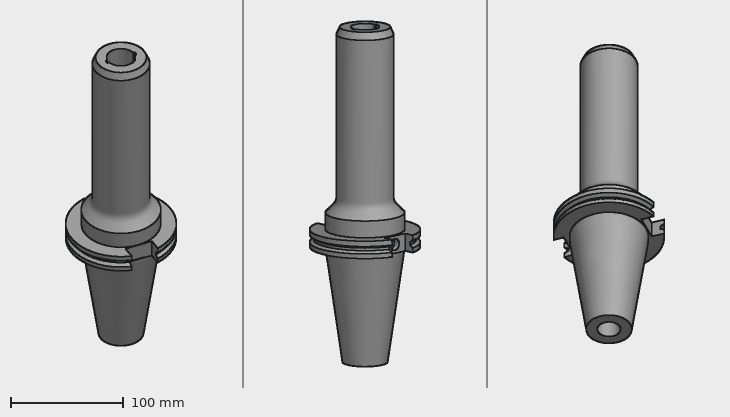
import cadquery as cq
import math

total_height = 304.8
gauge_height = 101.5
flange_bottom = gauge_height + 3.5
flange_top = flange_bottom + 16.0
hub_top = flange_top + 15.2

taper_ratio = 7 / 24
gauge_radius = 35.0
taper_end_radius = gauge_radius - gauge_height * taper_ratio / 2
flange_radius = 98.5 / 2
hub_radius = 35.5
shank_radius = 25.5
neck_fillet = 10.5
nose_inset = 3.0
nose_height = 6.7

upper_rim = 5.0
lower_rim = 4.3
groove_depth = 3.7
groove_flank_height = groove_depth * math.tan(math.radians(30))

slot_width = 26.0
left_slot_floor = -38.0
right_slot_floor = 35.7
side_hole_diameter = 10.5
side_hole_depth = 6.0

through_radius = 10.5
bore_radius = 12.8
bore_depth = 76.2
keyway_width = 3.0
keyway_reach = 14.3


def make_body():
    """Revolve the taper, grooved flange, hub and shank."""
    shoulder_corner = hub_top + hub_radius - shank_radius
    tangent_length = neck_fillet * math.tan(math.radians(22.5))
    tangent_offset = tangent_length * math.sqrt(0.5)
    fillet_start = (shank_radius + tangent_offset, shoulder_corner - tangent_offset)
    fillet_end = (shank_radius, shoulder_corner + tangent_length)
    fillet_middle = (
        shank_radius + neck_fillet * (1 - math.cos(math.radians(22.5))),
        fillet_end[1] - neck_fillet * math.sin(math.radians(22.5)),
    )
    groove_radius = flange_radius - groove_depth
    groove_bottom = flange_bottom + lower_rim
    groove_top = flange_top - upper_rim
    return (
        cq.Workplane("XZ")
        .moveTo(0, 0)
        .lineTo(taper_end_radius, 0)
        .lineTo(gauge_radius, gauge_height)
        .lineTo(gauge_radius, flange_bottom)
        .lineTo(flange_radius, flange_bottom)
        .lineTo(flange_radius, groove_bottom)
        .lineTo(groove_radius, groove_bottom + groove_flank_height)
        .lineTo(groove_radius, groove_top - groove_flank_height)
        .lineTo(flange_radius, groove_top)
        .lineTo(flange_radius, flange_top)
        .lineTo(hub_radius, flange_top)
        .lineTo(hub_radius, hub_top)
        .lineTo(*fillet_start)
        .threePointArc(fillet_middle, fillet_end)
        .lineTo(shank_radius, total_height - nose_height)
        .lineTo(shank_radius - nose_inset, total_height)
        .lineTo(0, total_height)
        .close()
        .revolve(360, (0, 0), (0, 1))
    )


def make_slot(floor_x):
    """Block running outward from the slot floor through the flange rim."""
    outer_x = math.copysign(flange_radius, floor_x)
    return (
        cq.Workplane("XY", origin=((floor_x + outer_x) / 2, 0, flange_bottom))
        .rect(abs(outer_x - floor_x), slot_width)
        .extrude(flange_top - flange_bottom)
    )


def make_side_hole():
    """Blind hole running inward from the left slot floor."""
    middle_height = (flange_bottom + flange_top) / 2
    return (
        cq.Workplane("YZ", origin=(left_slot_floor, 0, middle_height))
        .circle(side_hole_diameter / 2)
        .extrude(side_hole_depth)
    )


def make_bore():
    """Through hole, wider upper bore and its two keyways."""
    through = cq.Workplane("XY").circle(through_radius).extrude(total_height)
    upper = cq.Workplane("XY", origin=(0, 0, total_height - bore_depth))
    wide = upper.circle(bore_radius).extrude(bore_depth)
    keyways = upper.rect(keyway_width, 2 * keyway_reach).extrude(bore_depth)
    return through.union(wide).union(keyways)


result = make_body()
for slot_floor in (left_slot_floor, right_slot_floor):
    result = result.cut(make_slot(slot_floor))
result = result.cut(make_side_hole()).cut(make_bore())